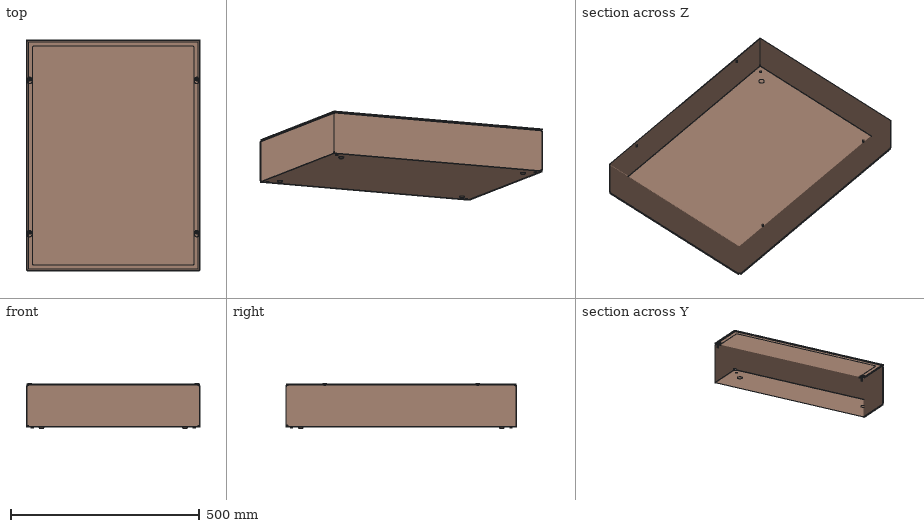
import cadquery as cq

box_sheet = 1.52
lid_sheet = 1.9
bend_radius = 4.76

box_length_x = 460.38
box_length_y = 612.77
flange_width = 15.5
opening_radius = 5.0
relief_height = bend_radius
back_relief_width = box_sheet

foot_spacing_x = 381.0
foot_spacing_y = 533.4
foot_base_diameter = 14.0
foot_tip_diameter = 9.2
foot_height = 3.8
pad_inset = 15.2
pad_diameter = 5.8
pad_height = 1.5

lid_inset_x = 0.8
lid_inset_y = 1.6
gasket_thickness = 0.8

screw_spacing_x = 443.7
screw_spacing_y = 406.4
shank_diameter = 4.17
shank_length = 12.0
head_diameter = 9.75
head_height = 1.4
head_edge_round = 1.3
recess_width = 1.2
recess_length = 3.73
recess_depth = 1.0
slot_width = 4.57
keyhole_diameter = 11.9
keyhole_offset = 6.6

overall_height = 119.78
lid_top = overall_height - foot_height - head_height
lid_bottom = lid_top - lid_sheet
box_height = lid_bottom - gasket_thickness

opening_x = box_length_x - 2 * flange_width
opening_y = box_length_y - 2 * flange_width


def screw_points(plane):
    return plane.rarray(screw_spacing_x, screw_spacing_y, 2, 2)


def block(length_x, length_y, bottom, top):
    plane = cq.Workplane("XY").workplane(offset=bottom)
    return plane.rect(length_x, length_y).extrude(top - bottom)


def make_feet():
    foot = (
        cq.Workplane("XZ")
        .moveTo(0, 0)
        .lineTo(foot_base_diameter / 2, 0)
        .lineTo(foot_tip_diameter / 2, -foot_height)
        .lineTo(0, -foot_height)
        .close()
        .revolve(360, (0, 0, 0), (0, 1, 0))
        .val()
    )
    points = cq.Workplane("XY").rarray(foot_spacing_x, foot_spacing_y, 2, 2)
    return points.eachpoint(lambda place: foot.moved(place))


def make_pads():
    spacing_x = box_length_x - 2 * pad_inset
    spacing_y = box_length_y - 2 * pad_inset
    points = cq.Workplane("XY").rarray(spacing_x, spacing_y, 2, 2)
    return points.circle(pad_diameter / 2).extrude(-pad_height)


def make_corner_reliefs():
    reliefs = cq.Workplane("XY")
    for side_y, width in ((-1, bend_radius), (1, back_relief_width)):
        points = [(side_x * box_length_x / 2, side_y * box_length_y / 2) for side_x in (-1, 1)]
        notches = cq.Workplane("XY").pushPoints(points).rect(2 * width, 2 * width)
        reliefs = reliefs.add(notches.extrude(relief_height))
    return reliefs.combine()


def make_box():
    outer = block(box_length_x, box_length_y, 0, box_height)
    outer = outer.edges("|Z and <Y").fillet(bend_radius)
    outer = outer.faces(">Z").edges().fillet(bend_radius)

    inner_x = box_length_x - 2 * box_sheet
    inner_y = box_length_y - 2 * box_sheet
    cavity = block(inner_x, inner_y, box_sheet, box_height - box_sheet)
    cavity = cavity.edges("|Z and <Y").fillet(bend_radius - box_sheet)
    cavity = cavity.faces(">Z").edges().fillet(bend_radius - box_sheet)
    opening = block(opening_x, opening_y, box_height - 2 * box_sheet, box_height)
    opening = opening.edges("|Z").fillet(opening_radius)

    box = outer.cut(cavity).cut(opening).cut(make_corner_reliefs())
    box = box.union(make_feet()).union(make_pads())
    holes = screw_points(cq.Workplane("XY").workplane(offset=box_height))
    return box.cut(holes.circle(shank_diameter / 2).extrude(-2 * box_sheet))


def make_gasket():
    gasket = block(
        box_length_x - 2 * bend_radius, box_length_y - 2 * bend_radius, box_height, lid_bottom
    )
    opening = block(opening_x, opening_y, box_height, lid_bottom).edges("|Z").fillet(opening_radius)
    holes = screw_points(cq.Workplane("XY").workplane(offset=box_height))
    return gasket.cut(opening).cut(holes.circle(shank_diameter / 2).extrude(gasket_thickness))


def make_lid():
    lid = block(box_length_x - 2 * lid_inset_x, box_length_y - 2 * lid_inset_y, lid_bottom, lid_top)
    base = cq.Workplane("XY").workplane(offset=lid_bottom)
    narrow_ends = screw_points(base).circle(slot_width / 2).extrude(lid_sheet)
    necks = (
        screw_points(base.center(0, -keyhole_offset / 2))
        .rect(slot_width, keyhole_offset)
        .extrude(lid_sheet)
    )
    entries = (
        screw_points(base.center(0, -keyhole_offset)).circle(keyhole_diameter / 2).extrude(lid_sheet)
    )
    return lid.cut(narrow_ends).cut(necks).cut(entries)


def make_screw(x, y):
    seat = cq.Workplane("XY").workplane(offset=lid_top)
    head = seat.circle(head_diameter / 2).extrude(head_height)
    head = head.faces(">Z").edges().fillet(head_edge_round)
    shank = seat.circle(shank_diameter / 2).extrude(-shank_length)
    screw = head.union(shank)
    top = seat.workplane(offset=head_height)
    for length_x, length_y in ((recess_length, recess_width), (recess_width, recess_length)):
        screw = screw.cut(top.rect(length_x, length_y).extrude(-recess_depth))
    return screw.translate((x, y, 0))


box = make_box()
gasket = make_gasket()
lid = make_lid()
screws = [
    make_screw(side_x * screw_spacing_x / 2, side_y * screw_spacing_y / 2)
    for side_x in (-1, 1)
    for side_y in (-1, 1)
]

result = cq.Compound.makeCompound([box.val(), gasket.val(), lid.val(), *[s.val() for s in screws]])